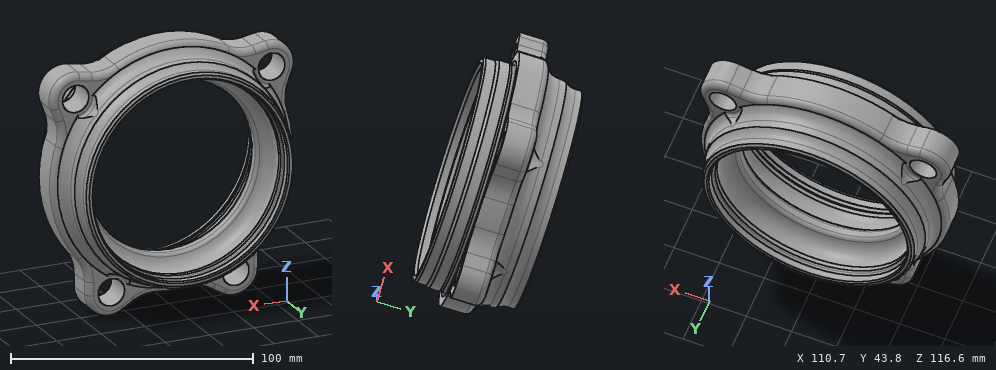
import cadquery as cq
import math

length = 43.8
flange_front = 13.4
flange_back = 26.7

ring_radius = 55.0
ear_radius = 11.0
ear_blend_radius = 17.0
ear_blend_angle = 22.2
ear_setback = 0.1
flange_round = 2.9

bolt_circle_radius = 57.9
bolt_hole_radius = 6.0
upper_ear_angle = 40
lower_ear_angle = 60.9
ear_angles = (
    upper_ear_angle,
    180 - upper_ear_angle,
    180 + lower_ear_angle,
    -lower_ear_angle,
)

body_radius = 49.3
front_spigot_radius = 48.6
front_nose_radius = 47.9
front_chamfer_length = 0.9
front_step_start = 5.1
front_step_end = 6.5

undercut_radius = 48.8
undercut_taper_start = 11.1
undercut_taper_end = 12.1
undercut_depth = 0.3
undercut_corner_radius = 49.8
undercut_rim_radius = 50.8
undercut_bulge = 0.2

flare_start = 32.3
flare_foot_radius = 52.6
flare_bulge = 0.8

shoulder_radius = 49.0
shoulder_start = 35.5
shoulder_end = 39.9
shoulder_bulge = 0.3
rear_spigot_radius = 47.1
rear_nose_radius = 46.0
rear_chamfer_length = 0.9

bore_radius = 37.8
race_middle = 23.2
crest_half_width = 1.4
race_inner_offset = 3.1
race_inner_radius = 39.0
race_outer_offset = 12.9
race_outer_radius = 43.2
race_bulge = 2.2
crest_bulge = 0.2

race_land_offset = 14.9
front_cone_radius = 44.0
front_cone_end = 7.3
front_seat_step = 44.6
front_seat_end = 4.9
front_seat_radius = 45.3
front_seat_step_length = 0.2
front_mouth_radius = 45.9
front_mouth_depth = 1.4
rear_cone_radius = 43.6
rear_cone_start = 38.9
rear_seat_radius = 44.1
rear_seat_start = 40.1
rear_mouth_radius = 44.6
rear_mouth_depth = 0.7

clearance_radius = 8.7
clearance_round = 1.3


def polar(radius, degrees):
    angle = math.radians(degrees)
    return (radius * math.cos(angle), radius * math.sin(angle))


def add_arc(profile, start, end, bulge):
    """Arc from start to end whose middle lies `bulge` to the left of the chord."""
    dx = end[0] - start[0]
    dy = end[1] - start[1]
    chord = math.hypot(dx, dy)
    middle = (
        (start[0] + end[0]) / 2 - bulge * dy / chord,
        (start[1] + end[1]) / 2 + bulge * dx / chord,
    )
    return profile.threePointArc(middle, end)


def body():
    """Turned ring: outer surface from front to back, then the bore from back to front."""
    undercut_foot = (undercut_radius, flange_front - undercut_depth)
    undercut_corner = (undercut_corner_radius, flange_front + undercut_depth)
    flare_foot = (flare_foot_radius, flange_back)
    flare_end = (body_radius, flare_start)
    shoulder_top = (shoulder_radius, shoulder_start)
    shoulder_foot = (rear_spigot_radius, shoulder_end)
    rear_race_outer = (race_outer_radius, race_middle + race_outer_offset)
    rear_race_inner = (race_inner_radius, race_middle + race_inner_offset)
    crest_back = (bore_radius, race_middle + crest_half_width)
    crest_front = (bore_radius, race_middle - crest_half_width)
    front_race_inner = (race_inner_radius, race_middle - race_inner_offset)
    front_race_outer = (race_outer_radius, race_middle - race_outer_offset)

    profile = cq.Workplane("XY").moveTo(front_mouth_radius, 0)
    profile = profile.lineTo(front_nose_radius, 0)
    profile = profile.lineTo(front_spigot_radius, front_chamfer_length)
    profile = profile.lineTo(front_spigot_radius, front_step_start)
    profile = profile.lineTo(body_radius, front_step_end)
    profile = profile.lineTo(body_radius, undercut_taper_start)
    profile = profile.lineTo(undercut_radius, undercut_taper_end)
    profile = profile.lineTo(*undercut_foot)
    profile = add_arc(profile, undercut_foot, undercut_corner, undercut_bulge)
    profile = profile.lineTo(undercut_rim_radius, flange_front)

    profile = profile.lineTo(*flare_foot)
    profile = add_arc(profile, flare_foot, flare_end, flare_bulge)
    profile = profile.lineTo(*shoulder_top)
    profile = add_arc(profile, shoulder_top, shoulder_foot, shoulder_bulge)
    profile = profile.lineTo(rear_spigot_radius, length - rear_chamfer_length)
    profile = profile.lineTo(rear_nose_radius, length)

    profile = profile.lineTo(rear_mouth_radius, length)
    profile = profile.lineTo(rear_seat_radius, length - rear_mouth_depth)
    profile = profile.lineTo(rear_seat_radius, rear_seat_start)
    profile = profile.lineTo(rear_cone_radius, rear_cone_start)
    profile = profile.lineTo(race_outer_radius, race_middle + race_land_offset)

    profile = profile.lineTo(*rear_race_outer)
    profile = add_arc(profile, rear_race_outer, rear_race_inner, race_bulge)
    profile = add_arc(profile, rear_race_inner, crest_back, -crest_bulge)
    profile = profile.lineTo(*crest_front)
    profile = add_arc(profile, crest_front, front_race_inner, -crest_bulge)
    profile = add_arc(profile, front_race_inner, front_race_outer, race_bulge)

    profile = profile.lineTo(race_outer_radius, race_middle - race_land_offset)
    profile = profile.lineTo(front_cone_radius, front_cone_end)
    profile = profile.lineTo(front_seat_step, front_seat_end)
    profile = profile.lineTo(front_seat_radius, front_seat_end - front_seat_step_length)
    profile = profile.lineTo(front_seat_radius, front_mouth_depth)
    return profile.close().revolve(360, (0, 0, 0), (0, 1, 0))


def cylinder(radius, start, end, center=(0, 0)):
    """Cylinder along Y between two stations, centred at (x, z)."""
    return (
        cq.Workplane("XZ", origin=(0, start, 0))
        .center(*center)
        .circle(radius)
        .extrude(start - end)
    )


def ear(angle):
    """Lobe around a bolt hole, joined to the ring by a straight flank and an arc on each side."""
    blend_u, blend_v = polar(ring_radius + ear_blend_radius, ear_blend_angle)

    tip_to_blend = math.hypot(blend_u - bolt_circle_radius, blend_v)
    toward_blend = math.degrees(math.atan2(blend_v, blend_u - bolt_circle_radius))
    off_center_line = math.degrees(math.acos((ear_radius + ear_blend_radius) / tip_to_blend))
    flank_normal = toward_blend - off_center_line
    tip_du, tip_dv = polar(ear_radius, flank_normal)
    blend_du, blend_dv = polar(ear_blend_radius, flank_normal)
    middle_du, middle_dv = polar(ear_blend_radius, (flank_normal + ear_blend_angle) / 2)

    flank_outer = (bolt_circle_radius + tip_du, tip_dv)
    flank_inner = (blend_u - blend_du, blend_v - blend_dv)
    blend_middle = (blend_u - middle_du, blend_v - middle_dv)
    blend_end = polar(ring_radius, ear_blend_angle)

    def mirror(point):
        return (point[0], -point[1])

    front = flange_front + ear_setback
    outline = (
        cq.Workplane("XZ", origin=(0, front, 0))
        .transformed(rotate=(0, 0, angle))
        .moveTo(0, 0)
        .lineTo(*blend_end)
        .threePointArc(blend_middle, flank_inner)
        .lineTo(*flank_outer)
        .threePointArc((bolt_circle_radius + ear_radius, 0), mirror(flank_outer))
        .lineTo(*mirror(flank_inner))
        .threePointArc(mirror(blend_middle), mirror(blend_end))
        .close()
    )
    return outline.extrude(front - flange_back)


def flange():
    """Ring with four ears, rounded along its rear edge and opened to fit around the body."""
    plate = cylinder(ring_radius, flange_front, flange_back)
    for angle in ear_angles:
        plate = plate.union(ear(angle))
    plate = plate.faces(">Y").edges().fillet(flange_round)
    opening = cylinder(undercut_rim_radius, flange_front, flange_back)
    return plate.cut(opening)


def bolt_clearance(center):
    """Pocket with a rounded floor edge that gives the bolt head room beside the flare."""
    pocket = cylinder(clearance_radius, flange_back, length, center)
    return pocket.faces("<Y").edges().fillet(clearance_round)


hole_centers = [polar(bolt_circle_radius, angle) for angle in ear_angles]

result = body()
for hole_center in hole_centers:
    result = result.cut(bolt_clearance(hole_center))
result = result.union(flange())
for hole_center in hole_centers:
    result = result.cut(cylinder(bolt_hole_radius, 0, length, hole_center))